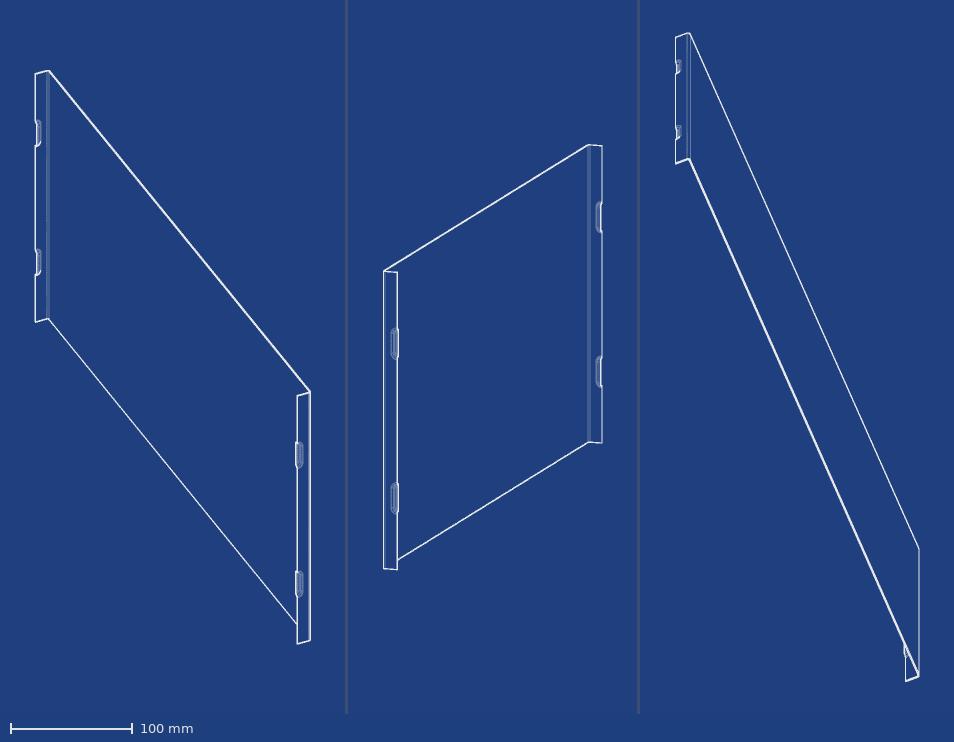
import cadquery as cq
import math

width = 504.0
depth = 12.5
height = 250.0

thickness = 1.0
bend_inner_radius = 1.0
bend_outer_radius = bend_inner_radius + thickness

joggle_spacing = 130.0
joggle_offset = 3.0
joggle_straight_length = 16.5
joggle_floor_radius = 1.6
joggle_wall_angle = 60.0
joggle_inner_bend = 1.0
joggle_outer_bend = joggle_inner_bend + thickness

wall_cosine = math.cos(math.radians(joggle_wall_angle))
wall_sine = math.sin(math.radians(joggle_wall_angle))
joggle_bend_sum = joggle_inner_bend + joggle_outer_bend
slope_rise = joggle_offset - joggle_bend_sum * (1 - wall_cosine)
slope_run = slope_rise * wall_cosine / wall_sine
joggle_mouth_radius = joggle_floor_radius + joggle_bend_sum * wall_sine + slope_run

half_width = width / 2


def make_channel():
    """Flat panel on the +Y side with a flange bent toward -Y along each side."""
    outer = (
        cq.Workplane("XY")
        .box(width, depth, height, centered=(True, False, True))
        .edges("|Z and >Y")
        .fillet(bend_outer_radius)
    )
    inner = (
        cq.Workplane("XY")
        .box(width - 2 * thickness, depth - thickness, height, centered=(True, False, True))
        .edges("|Z and >Y")
        .fillet(bend_inner_radius)
    )
    return outer.cut(inner)


def joggle_profile(mouth_bend, floor_bend):
    """Half section in XY, from the middle of the floor at y = 0 out to the mouth on x = 0."""
    half_angle = math.radians(joggle_wall_angle / 2)
    floor_center_x = joggle_offset - floor_bend
    floor_arc_middle = (
        floor_center_x + floor_bend * math.cos(half_angle),
        joggle_floor_radius + floor_bend * math.sin(half_angle),
    )
    slope_top = (
        floor_center_x + floor_bend * wall_cosine,
        joggle_floor_radius + floor_bend * wall_sine,
    )
    slope_foot = (
        mouth_bend * (1 - wall_cosine),
        joggle_mouth_radius - mouth_bend * wall_sine,
    )
    mouth_arc_middle = (
        mouth_bend * (1 - math.cos(half_angle)),
        joggle_mouth_radius - mouth_bend * math.sin(half_angle),
    )
    return (
        cq.Workplane("XY")
        .moveTo(0, 0)
        .lineTo(joggle_offset, 0)
        .lineTo(joggle_offset, joggle_floor_radius)
        .threePointArc(floor_arc_middle, slope_top)
        .lineTo(*slope_foot)
        .threePointArc(mouth_arc_middle, (0, joggle_mouth_radius))
        .close()
    )


def make_press_form(mouth_bend, floor_bend):
    """Half-slot form raised from x = 0 toward +X, cut off flat at y = 0 and centered on z = 0."""
    half_straight = joggle_straight_length / 2
    straight = joggle_profile(mouth_bend, floor_bend).extrude(half_straight, both=True)
    upper_end = (
        joggle_profile(mouth_bend, floor_bend)
        .revolve(90, (0, 0, 0), (1, 0, 0))
        .translate((0, 0, half_straight))
    )
    return straight.union(upper_end).union(upper_end.mirror("XY"))


def press_joggles(body):
    """Press the joggles into both flanges, at equal heights above and below the middle."""
    boss = make_press_form(joggle_inner_bend, joggle_outer_bend)
    pocket = make_press_form(joggle_outer_bend, joggle_inner_bend)
    for center_z in (-joggle_spacing / 2, joggle_spacing / 2):
        left_boss = boss.translate((-half_width + thickness, 0, center_z))
        left_pocket = pocket.translate((-half_width, 0, center_z))
        body = body.union(left_boss).union(left_boss.mirror("YZ"))
        body = body.cut(left_pocket).cut(left_pocket.mirror("YZ"))
    return body


result = press_joggles(make_channel())